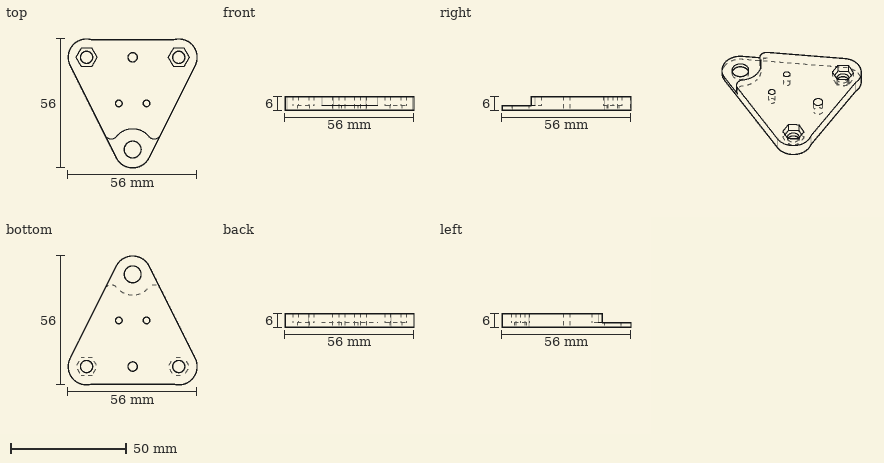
import cadquery as cq
import math

thickness = 6.0
tab_thickness = 2.0
corner_radius = 8.0
hole_spacing = 39.95
rear_inset = 0.3

relief_radius = 9.0
lobe_radius = 3.0

pivot_diameter = 7.2
bolt_diameter = 5.2
center_hole_diameter = 4.0
small_hole_diameter = 2.8
small_hole_spacing = hole_spacing * 0.3
nut_across_flats = 7.95
nut_depth = 4.0

half_spacing = hole_spacing / 2
bolt_points = [(-half_spacing, hole_spacing), (half_spacing, hole_spacing)]

edge_length = math.hypot(half_spacing, hole_spacing)
normal_x = hole_spacing / edge_length
normal_y = -half_spacing / edge_length
along_x = -normal_y
along_y = normal_x

lobe_inset = corner_radius - lobe_radius
lobe_along = math.sqrt((relief_radius + lobe_radius) ** 2 - lobe_inset ** 2)
lobe_x = normal_x * lobe_inset + along_x * lobe_along
lobe_y = normal_y * lobe_inset + along_y * lobe_along
relief_share = relief_radius / (relief_radius + lobe_radius)
relief_end = (lobe_x * relief_share, lobe_y * relief_share)
lobe_bottom = (lobe_x, lobe_y - lobe_radius)
lobe_end = (lobe_x + normal_x * lobe_radius, lobe_y + normal_y * lobe_radius)

pivot_end = (normal_x * corner_radius, normal_y * corner_radius)
side_end = (half_spacing + pivot_end[0], hole_spacing + pivot_end[1])
corner_mid_offset = corner_radius / math.sqrt(2)
corner_mid = (half_spacing + corner_mid_offset, hole_spacing + corner_mid_offset)
rear_rise = corner_radius - rear_inset
rear_run = math.sqrt(corner_radius ** 2 - rear_rise ** 2)
rear_end = (half_spacing - rear_run, hole_spacing + rear_rise)


def mirrored(point):
    return (-point[0], point[1])


def rear_outline(start):
    """Open outline from the right-hand start point round the rear to its mirror image."""
    return (
        cq.Workplane("XY")
        .moveTo(*start)
        .lineTo(*side_end)
        .threePointArc(corner_mid, rear_end)
        .lineTo(*mirrored(rear_end))
        .threePointArc(mirrored(corner_mid), mirrored(side_end))
        .lineTo(*mirrored(start))
    )


def base_plate():
    outline = rear_outline(pivot_end).threePointArc((0, -corner_radius), pivot_end)
    return outline.close().extrude(tab_thickness)


def thick_plate():
    outline = (
        rear_outline(lobe_end)
        .threePointArc(mirrored(lobe_bottom), mirrored(relief_end))
        .threePointArc((0, relief_radius), relief_end)
        .threePointArc(lobe_bottom, lobe_end)
    )
    return outline.close().extrude(thickness)


def through_holes(points, diameter):
    return cq.Workplane("XY").pushPoints(points).circle(diameter / 2).extrude(thickness)


def nut_pockets():
    across_corners = nut_across_flats / math.cos(math.pi / 6)
    return (
        cq.Workplane("XY", origin=(0, 0, thickness - nut_depth))
        .pushPoints(bolt_points)
        .polygon(6, across_corners)
        .extrude(nut_depth)
    )


small_points = [(side * small_hole_spacing / 2, half_spacing) for side in (-1, 1)]

result = (
    base_plate()
    .union(thick_plate())
    .cut(through_holes([(0, 0)], pivot_diameter))
    .cut(through_holes(bolt_points, bolt_diameter))
    .cut(through_holes([(0, hole_spacing)], center_hole_diameter))
    .cut(through_holes(small_points, small_hole_diameter))
    .cut(nut_pockets())
)